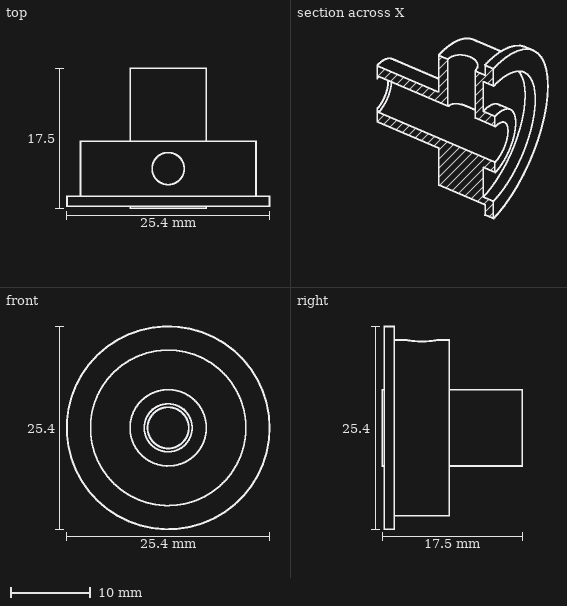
import cadquery as cq
import math

flange_diameter = 25.4
body_diameter = 22.0
recess_diameter = 19.45
hub_diameter = 9.55
bore_diameter = 6.0
bore_exit_diameter = 5.13
radial_hole_diameter = 4.0

total_length = 17.52
hub_projection = 0.25
flange_thickness = 1.27
body_length = 6.88
recess_depth = 1.5
flange_back = hub_projection + flange_thickness
body_back = flange_back + body_length
radial_hole_y = 4.98

drill_point_angle = 118.0
bore_step = (bore_diameter - bore_exit_diameter) / 2
bore_taper_length = bore_step / math.tan(math.radians(drill_point_angle / 2))


def cylinder(diameter, start, end):
    """Cylinder on the Y axis between two Y positions."""
    return (
        cq.Workplane("XZ", origin=(0, start, 0))
        .circle(diameter / 2)
        .extrude(start - end)
    )


wheel = cylinder(flange_diameter, hub_projection, flange_back)
wheel = wheel.union(cylinder(body_diameter, flange_back, body_back))
wheel = wheel.cut(cylinder(recess_diameter, hub_projection, hub_projection + recess_depth))

part = wheel.union(cylinder(hub_diameter, 0, total_length))

radial_hole = (
    cq.Workplane("XY", origin=(0, radial_hole_y, 0))
    .circle(radial_hole_diameter / 2)
    .extrude(flange_diameter / 2)
)
part = part.cut(radial_hole)

bore = (
    cq.Workplane("XY")
    .lineTo(bore_diameter / 2, 0)
    .lineTo(bore_diameter / 2, total_length - bore_taper_length)
    .lineTo(bore_exit_diameter / 2, total_length)
    .lineTo(0, total_length)
    .close()
    .revolve(360, (0, 0, 0), (0, 1, 0))
)
result = part.cut(bore)